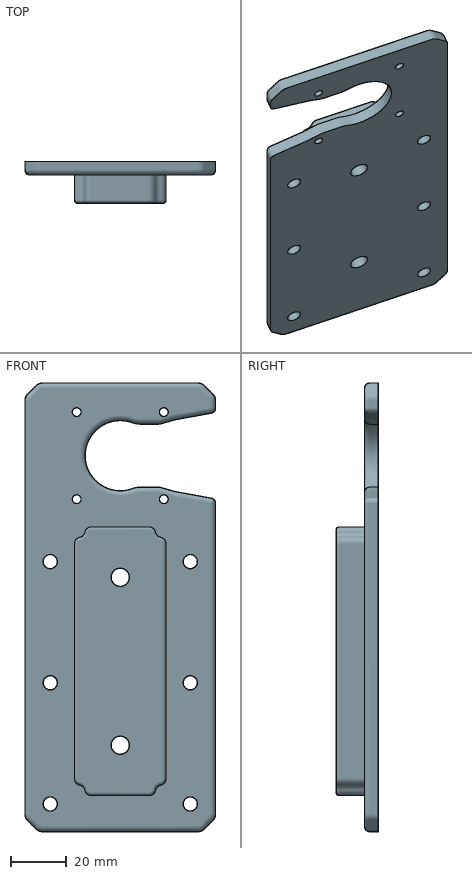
import cadquery as cq
import math

plate_width = 68.2
plate_height = 160.4
plate_thickness = 5.0
corner_chamfer = 5.0
corner_round = 3.0
plate_edge_round = 2.0

mouth_z = 54.2
mouth_radius = 12.5
neck_half_gap = 11.2
neck_blend_radius = 7.2
neck_end_x = 14.1
neck_end_round = 3.0
flare_bend_x = 19.5
inner_flare_angle = 16.0
outer_flare_angle = 10.3
tip_round = 2.0

block_width = 32.7
block_height = 96.0
block_depth = 10.1
block_z = -19.2
notch_radius = 2.4
notch_arc_angle = 78.0
block_edge_round = 1.1

small_hole_diameter = 3.0
small_hole_spacing = 31.1
side_hole_diameter = 5.0
side_hole_spacing = 50.0
side_hole_pitch = 43.3
side_hole_mid_z = -27.0
block_hole_diameter = 6.4
block_hole_spacing = 60.0


def rise(run, angle):
    """Height gained along a slope of the given angle in degrees."""
    return run * math.tan(math.radians(angle))


flare_bend_height = neck_half_gap + rise(flare_bend_x - neck_end_x, inner_flare_angle)
tip_height = flare_bend_height + rise(plate_width / 2 - flare_bend_x, outer_flare_angle)


def prism(outline, front_y, depth):
    """Extrude a closed XZ outline toward +Y, starting at front_y."""
    return outline.extrude(-depth).translate((0, front_y, 0))


def round_pair(body, x, half_gap, radius):
    """Round the two Y-parallel edges lying at x, half_gap above and below the mouth's axis."""
    for side in (-1, 1):
        corner = (x, plate_thickness / 2, mouth_z + side * half_gap)
        body = body.edges(cq.selectors.NearestToPointSelector(corner)).fillet(radius)
    return body


def mouth_cutter():
    """Round pocket, narrower neck and two-stage flare that runs out past the plate's right side."""
    outer_x = plate_width
    outer_height = flare_bend_height + rise(outer_x - flare_bend_x, outer_flare_angle)
    upper_side = [
        (0, neck_half_gap),
        (neck_end_x, neck_half_gap),
        (flare_bend_x, flare_bend_height),
        (outer_x, outer_height),
    ]
    lower_side = [(x, -z) for x, z in reversed(upper_side)]
    channel = prism(cq.Workplane("XZ").polyline(upper_side + lower_side).close(), 0, plate_thickness)
    pocket = prism(cq.Workplane("XZ").circle(mouth_radius), 0, plate_thickness)
    cutter = pocket.union(channel).translate((0, 0, mouth_z))
    neck_start_x = math.sqrt(mouth_radius**2 - neck_half_gap**2)
    cutter = round_pair(cutter, neck_start_x, neck_half_gap, neck_blend_radius)
    return round_pair(cutter, neck_end_x, neck_half_gap, neck_end_round)


def plate():
    """Chamfered plate with the mouth cut out and its front edge rounded all the way round."""
    body = prism(cq.Workplane("XZ").rect(plate_width, plate_height), 0, plate_thickness)
    body = body.edges("|Y").chamfer(corner_chamfer)
    body = body.edges("|Y").fillet(corner_round)
    body = body.cut(mouth_cutter())
    body = round_pair(body, plate_width / 2, tip_height, tip_round)
    return body.faces("<Y").edges().fillet(plate_edge_round)


def notched_corner(x_side, z_side):
    """Arc points of one block corner, from the block's upright side to its level side.

    The seven points alternate arc ends and arc middles. The notch is symmetric about the
    corner's diagonal, so the last three points mirror the first three.
    """
    angle = math.radians(notch_arc_angle)
    across = math.cos(angle)
    along = math.sin(angle)
    bump_x = notch_radius
    bump_z = notch_radius * (1 - 2 * across + 2 * along)
    hollow = notch_radius * (1 - 2 * across)
    hollow_middle = hollow + notch_radius * math.sin(math.pi / 4)
    first_half = [
        (0, bump_z),
        (bump_x - notch_radius * math.cos(angle / 2), bump_z - notch_radius * math.sin(angle / 2)),
        (bump_x - notch_radius * across, bump_z - notch_radius * along),
    ]
    second_half = [(z, x) for x, z in reversed(first_half)]
    insets = first_half + [(hollow_middle, hollow_middle)] + second_half
    return [(x_side * (block_width / 2 - x), z_side * (block_height / 2 - z)) for x, z in insets]


def block():
    """Raised block with notched corners and a rounded front edge."""
    corners = [
        notched_corner(1, 1),
        notched_corner(-1, 1)[::-1],
        notched_corner(-1, -1),
        notched_corner(1, -1)[::-1],
    ]
    outline = cq.Workplane("XZ").moveTo(*corners[-1][-1])
    for corner in corners:
        outline = outline.lineTo(*corner[0])
        for middle, end in zip(corner[1::2], corner[2::2]):
            outline = outline.threePointArc(middle, end)
    body = prism(outline.close(), -block_depth, block_depth)
    body = body.faces("<Y").edges().fillet(block_edge_round)
    return body.translate((0, 0, block_z))


def hole_cutter(points, diameter):
    """Through holes along Y at the given (x, z) points."""
    circles = cq.Workplane("XZ").pushPoints(points).circle(diameter / 2)
    return prism(circles, -block_depth, block_depth + plate_thickness)


small_hole_points = [
    (x * small_hole_spacing / 2, mouth_z + z * small_hole_spacing / 2) for x in (-1, 1) for z in (-1, 1)
]
side_hole_points = [
    (x * side_hole_spacing / 2, side_hole_mid_z + z * side_hole_pitch) for x in (-1, 1) for z in (-1, 0, 1)
]
block_hole_points = [(0, block_z + z * block_hole_spacing / 2) for z in (-1, 1)]

result = plate().union(block())
result = result.cut(hole_cutter(small_hole_points, small_hole_diameter))
result = result.cut(hole_cutter(side_hole_points, side_hole_diameter))
result = result.cut(hole_cutter(block_hole_points, block_hole_diameter))